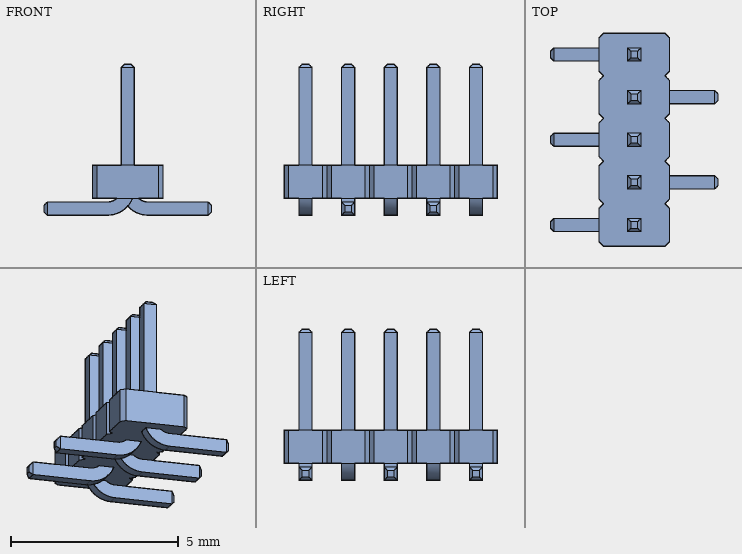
import cadquery as cq


pin_count = 5
row_length = 6.35
leg_span = 5.0
total_height = 4.5
body_width = 2.1
body_height = 1.0
standoff = 0.5
corner_chamfer = 0.135
pin_size = 0.4
inner_bend_radius = 0.4
tip_taper = 0.1

pitch = row_length / pin_count
half_pin = pin_size / 2
leg_reach = leg_span / 2
outer_bend_radius = inner_bend_radius + pin_size
bend_center_x = -half_pin - inner_bend_radius
bend_center_z = outer_bend_radius


def make_body_cell(y):
    """One insulator block; its corner chamfers form the notches between cells."""
    return (
        cq.Workplane("XY", origin=(0, y, standoff))
        .rect(body_width, pitch)
        .extrude(body_height)
        .edges("|Z")
        .chamfer(corner_chamfer)
    )


def make_left_pin():
    """Square wire at Y = 0: upright post, 90 degree bend, leg towards -X."""
    wire = (
        cq.Workplane("XZ")
        .moveTo(-leg_reach, 0)
        .lineTo(bend_center_x, 0)
        .radiusArc((half_pin, bend_center_z), -outer_bend_radius)
        .lineTo(half_pin, total_height)
        .lineTo(-half_pin, total_height)
        .lineTo(-half_pin, bend_center_z)
        .radiusArc((bend_center_x, pin_size), inner_bend_radius)
        .lineTo(-leg_reach, pin_size)
        .close()
        .extrude(half_pin, both=True)
    )
    wire = wire.faces(">Z").chamfer(tip_taper)
    return wire.faces("<X").chamfer(tip_taper)


left_pin = make_left_pin()
right_pin = left_pin.mirror("YZ")

result = cq.Workplane("XY")
for index in range(pin_count):
    y = (index - (pin_count - 1) / 2) * pitch
    result = result.union(make_body_cell(y))
    pin = left_pin if index % 2 == 0 else right_pin
    result = result.union(pin.translate((0, y, 0)))

result = result.clean()